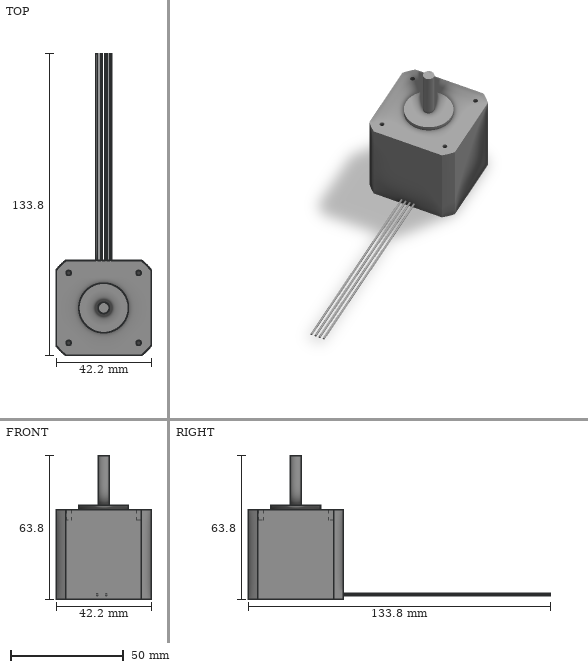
import cadquery as cq

body_width = 42.16
body_height = 39.8
corner_diameter = 53.85

boss_diameter = 22.0
boss_height = 2.0
shaft_diameter = 5.0
total_height = 63.75
shaft_length = total_height - body_height - boss_height

hole_diameter = 2.18
hole_spacing = 31.0
hole_depth = 4.5

wire_count = 4
wire_diameter = 0.96
wire_pitch = 2.02
wire_center_height = 2.2
total_depth = 133.77
wire_length = total_depth - body_width
wire_embedment = 1.0


def make_body():
    square = cq.Workplane("XY").rect(body_width, body_width).extrude(body_height)
    corner_envelope = cq.Workplane("XY").circle(corner_diameter / 2).extrude(body_height)
    return square.intersect(corner_envelope)


def add_boss_and_shaft(body):
    with_boss = body.faces(">Z").workplane().circle(boss_diameter / 2).extrude(boss_height)
    return with_boss.faces(">Z").workplane().circle(shaft_diameter / 2).extrude(shaft_length)


def make_mounting_holes():
    return (
        cq.Workplane("XY")
        .workplane(offset=body_height - hole_depth)
        .rect(hole_spacing, hole_spacing, forConstruction=True)
        .vertices()
        .circle(hole_diameter / 2)
        .extrude(hole_depth)
    )


def make_wire(x):
    wire_start = cq.Vector(x, body_width / 2 - wire_embedment, wire_center_height)
    along_y = cq.Vector(0, 1, 0)
    wire = cq.Solid.makeCylinder(wire_diameter / 2, wire_length + wire_embedment, wire_start, along_y)
    return cq.Workplane(obj=wire)


result = add_boss_and_shaft(make_body()).cut(make_mounting_holes())
first_wire_x = -(wire_count - 1) * wire_pitch / 2
for index in range(wire_count):
    result = result.union(make_wire(first_wire_x + index * wire_pitch))